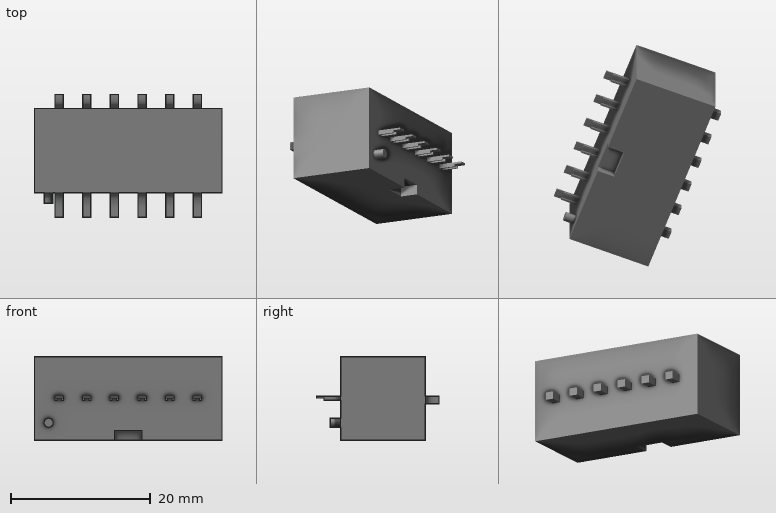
import cadquery as cq

body_length = 26.84
body_depth = 12.1
body_height = 12.0
front_y = -body_depth / 2
back_y = body_depth / 2

contact_count = 6
contact_pitch = 3.96
contact_width = 1.2
contact_top_z = 6.33

tail_length = 3.5
sheet_thickness = 0.27
tail_height = 0.62
wall_length = 2.4

back_tail_length = 2.0
back_tail_height = 1.1

peg_diameter = 1.3
peg_length = 1.5
peg_end_offset = 2.03
peg_x = -body_length / 2 + peg_end_offset
peg_z = 2.52

notch_width = 4.0
notch_height = 1.43
notch_depth = 2.5


def box(x_min, y_min, z_min, x_size, y_size, z_size):
    """Box given by its lowest corner and its sizes."""
    return cq.Workplane("XY").box(x_size, y_size, z_size, centered=False).translate((x_min, y_min, z_min))


def make_body():
    block = box(-body_length / 2, front_y, 0, body_length, body_depth, body_height)
    notch = box(-notch_width / 2, front_y, 0, notch_width, notch_depth, notch_height)
    return block.cut(notch)


def make_contact(x_center):
    """Front channel-shaped tail and back bar of one contact."""
    left_x = x_center - contact_width / 2
    right_wall_x = x_center + contact_width / 2 - sheet_thickness
    strip = box(
        left_x, front_y - tail_length, contact_top_z - sheet_thickness,
        contact_width, tail_length, sheet_thickness,
    )
    back_tail = box(
        left_x, back_y, contact_top_z - back_tail_height,
        contact_width, back_tail_length, back_tail_height,
    )
    contact = strip.union(back_tail)
    for wall_x in (left_x, right_wall_x):
        wall = box(
            wall_x, front_y - wall_length, contact_top_z - tail_height,
            sheet_thickness, wall_length, tail_height,
        )
        contact = contact.union(wall)
    return contact


def make_peg():
    face = cq.Workplane("XZ", origin=(peg_x, front_y, peg_z))
    return face.circle(peg_diameter / 2).extrude(peg_length)


result = make_body().union(make_peg())
for index in range(contact_count):
    x_center = (index - (contact_count - 1) / 2) * contact_pitch
    result = result.union(make_contact(x_center))